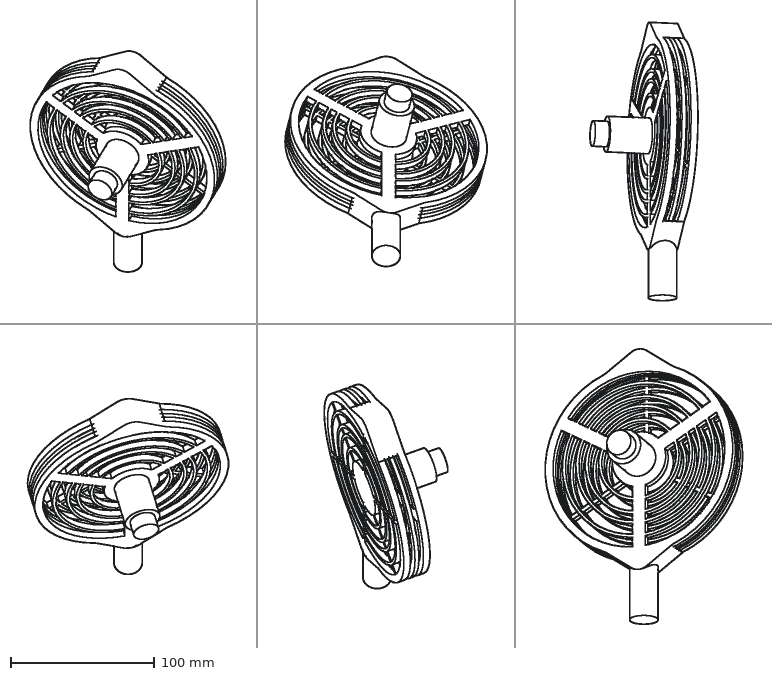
import cadquery as cq
import math

BODY_DEPTH = 20.0
GRILLE_DEPTH = BODY_DEPTH / 4
MIDDLE_RIM_DEPTH = 3.0
FRONT_Y = -BODY_DEPTH / 2
BACK_Y = BODY_DEPTH / 2

RIM_RADIUS = 140.0 / 2
OPENING_RADIUS = 128.0 / 2
MID_RIM_RADIUS = (RIM_RADIUS + OPENING_RADIUS) / 2
RING_OUTER_RADII = (30.0, 40.0, 47.0, 57.0)
RING_WIDTH = 2.4
HUB_RADIUS = 20.0

WIDE_SPOKE_WIDTH = 9.8
WIDE_SPOKE_ANGLES = (30, 150, 270)
THIN_SPOKE_WIDTH = 3.1
THIN_SPOKE_ANGLES = (30, 90, 150, 210, 270, 330)

LOBE_TIP_HEIGHT = 81.0
LOBE_TIP_RADIUS = 10.0
LOBE_FILLET_RADIUS = 10.0
LOBE_FLANK_ANGLE = 35.2
LOBE_HALF_WIDTH = 25.0
LOBE_OVERLAP = 0.2

BOSS_RADIUS = 25.0 / 2
BOSS_LENGTH = 30.0
SHAFT_TIP_RADIUS = 18.0 / 2
SHAFT_TIP_LENGTH = 10.0
PIN_RADIUS = 5.0 / 2
PIN_LENGTH = 1.8
OVERALL_HEIGHT = 196.0
HANDLE_RADIUS = 20.0 / 2
HANDLE_BOTTOM_Z = LOBE_TIP_HEIGHT - OVERALL_HEIGHT


def facing_front(y):
    """Sketch plane at depth y with local X = X and local Y = Z; extrusions run toward -Y."""
    return cq.Workplane("XZ", origin=(0, y, 0))


def disc(radius, front_y, depth):
    return facing_front(front_y + depth).circle(radius).extrude(depth)


def ring(outer_radius, inner_radius, front_y, depth):
    return facing_front(front_y + depth).circle(outer_radius).circle(inner_radius).extrude(depth)


def spoke(angle, width, front_y):
    """Radial bar from the hub centre into the middle of the rim."""
    sketch = facing_front(front_y + GRILLE_DEPTH).center(MID_RIM_RADIUS / 2, 0)
    bar = sketch.rect(MID_RIM_RADIUS, width).extrude(GRILLE_DEPTH)
    return bar.rotate((0, 0, 0), (0, -1, 0), angle)


def grille(front_y, spoke_angles, spoke_width):
    """Rim, concentric rings, hub and spokes at one depth."""
    body = ring(RIM_RADIUS, OPENING_RADIUS, front_y, GRILLE_DEPTH)
    body = body.union(disc(HUB_RADIUS, front_y, GRILLE_DEPTH))
    for outer_radius in RING_OUTER_RADII:
        body = body.union(ring(outer_radius, outer_radius - RING_WIDTH, front_y, GRILLE_DEPTH))
    for angle in spoke_angles:
        body = body.union(spoke(angle, spoke_width, front_y))
    return body


def lobe_profile(depth):
    """Top lobe with its foot fillets, extruded back from the front face and cleared inside the rim."""
    flank = math.radians(LOBE_FLANK_ANGLE)
    tip_center_z = LOBE_TIP_HEIGHT - LOBE_TIP_RADIUS
    tip_x = LOBE_TIP_RADIUS * math.sin(flank)
    tip_z = tip_center_z + LOBE_TIP_RADIUS * math.cos(flank)

    center_radius = RIM_RADIUS + LOBE_FILLET_RADIUS
    center_along_normal = tip_center_z * math.cos(flank) + LOBE_TIP_RADIUS + LOBE_FILLET_RADIUS
    center_angle = flank - math.acos(center_along_normal / center_radius)
    center_x = center_radius * math.sin(center_angle)
    center_z = center_radius * math.cos(center_angle)

    def fillet_point(angle):
        return (
            center_x - LOBE_FILLET_RADIUS * math.sin(angle),
            center_z - LOBE_FILLET_RADIUS * math.cos(angle),
        )

    flank_x, flank_z = fillet_point(flank)
    middle_x, middle_z = fillet_point((flank + center_angle) / 2)
    rim_x, rim_z = fillet_point(center_angle)

    block = (
        facing_front(FRONT_Y + depth)
        .moveTo(-rim_x, 0)
        .lineTo(-rim_x, rim_z)
        .threePointArc((-middle_x, middle_z), (-flank_x, flank_z))
        .lineTo(-tip_x, tip_z)
        .threePointArc((0, LOBE_TIP_HEIGHT), (tip_x, tip_z))
        .lineTo(flank_x, flank_z)
        .threePointArc((middle_x, middle_z), (rim_x, rim_z))
        .lineTo(rim_x, 0)
        .close()
        .extrude(depth)
    )
    return block.cut(disc(RIM_RADIUS - LOBE_OVERLAP, FRONT_Y, depth))


def lobe():
    """Full-depth lobe trimmed at its sides; on the front grille its fillets run out fully."""
    side_trim = cq.Workplane("XY").box(2 * LOBE_HALF_WIDTH, BODY_DEPTH, 2 * LOBE_TIP_HEIGHT)
    return lobe_profile(BODY_DEPTH).intersect(side_trim).union(lobe_profile(GRILLE_DEPTH))


def shaft():
    """Boss with a smaller tip, standing out from the front hub."""
    boss_front_y = FRONT_Y - BOSS_LENGTH
    boss = disc(BOSS_RADIUS, boss_front_y, BOSS_LENGTH)
    return boss.union(disc(SHAFT_TIP_RADIUS, boss_front_y - SHAFT_TIP_LENGTH, SHAFT_TIP_LENGTH))


def handle():
    """Round bar hanging from the bottom lobe, starting just outside the rim."""
    length = -RIM_RADIUS - HANDLE_BOTTOM_Z
    return cq.Workplane("XY", origin=(0, 0, HANDLE_BOTTOM_Z)).circle(HANDLE_RADIUS).extrude(length)


front_grille = grille(FRONT_Y, WIDE_SPOKE_ANGLES, WIDE_SPOKE_WIDTH)
middle_rim = ring(RIM_RADIUS, OPENING_RADIUS, -MIDDLE_RIM_DEPTH / 2, MIDDLE_RIM_DEPTH)
back_grille = grille(BACK_Y - GRILLE_DEPTH, THIN_SPOKE_ANGLES, THIN_SPOKE_WIDTH)
top_lobe = lobe()
bottom_lobe = top_lobe.mirror("XY")
pin = disc(PIN_RADIUS, FRONT_Y + GRILLE_DEPTH, PIN_LENGTH)

result = front_grille
for piece in (top_lobe, bottom_lobe, middle_rim, back_grille, shaft(), handle(), pin):
    result = result.union(piece)
result = result.solids()